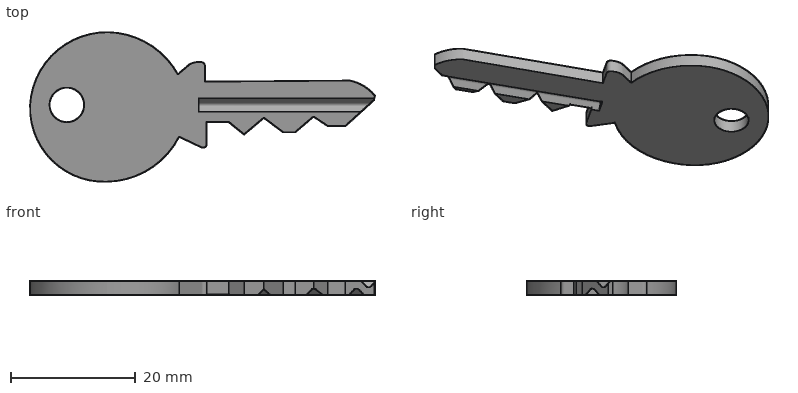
import cadquery as cq
import math

LENGTH = 55.33
WIDTH = 24.01
THICKNESS = 2.3

LEFT_X = -LENGTH / 2
TIP_X = LENGTH / 2
HEAD_TOP_Y = WIDTH / 2
HEAD_BOTTOM_Y = -WIDTH / 2

HEAD_LEFT_Y = 0.33
HEAD_TOP_X = -15.1
HEAD_BOTTOM_X = -15.33
UPPER_LEFT_MID = (-24.0, 8.42)
UPPER_RIGHT_MID = (-8.5, 10.03)
LOWER_RIGHT_MID = (-8.5, -9.98)
LOWER_LEFT_MID = (-24.0, -8.72)
UPPER_NECK = (-3.95, 5.25)
LOWER_NECK = (-3.75, -4.8)

HOLE_DIAMETER = 5.5
HOLE_CENTER = (-21.75, 0.33)

UPPER_SHOULDER_X = 0.42
EAR_START = (-2.1, 6.83)
EAR_MID = (-1.4, 7.13)
EAR_CREST = (-0.6, 7.22)
EAR_CORNER_RADIUS = 0.7

LOWER_SHOULDER_X = 0.68
LOWER_EAR_CORNER = (LOWER_SHOULDER_X, -6.9)
LOWER_EAR_RADIUS = 0.6

BACK_START_Y = 4.08
BACK_END_Y = 4.25
BACK_END_X = 23.6
NOSE_MID = (25.9, 3.35)
TIP_Y = 1.78
TIP_CORNER = (27.5, 1.1)
BIT_ROOT_Y = -2.42
BIT_POINTS = [
    (4.2, BIT_ROOT_Y),
    (6.67, -4.42),
    (9.83, -1.75),
    (12.95, -4.08),
    (14.85, -4.08),
    (17.8, -1.55),
    (20.1, -3.08),
    (22.9, -3.08),
]

GROOVE_START_X = -0.6
GROOVE_WIDTH = 2.2
GROOVE_WALL_ANGLE = 50.0
GROOVE_ROOT_RADIUS = 0.5
TOP_GROOVE_Y = 0.31
BOTTOM_GROOVE_Y = -1.45


def make_outline():
    """Closed outline of the key, running clockwise from the left end of the head."""
    left = (LEFT_X, HEAD_LEFT_Y)
    corner_inset = EAR_CORNER_RADIUS * (1 - math.cos(math.radians(45)))
    ear_corner_mid = (
        UPPER_SHOULDER_X - corner_inset,
        EAR_CREST[1] - corner_inset,
    )
    outline = (
        cq.Workplane("XY")
        .moveTo(*left)
        .threePointArc(UPPER_LEFT_MID, (HEAD_TOP_X, HEAD_TOP_Y))
        .threePointArc(UPPER_RIGHT_MID, UPPER_NECK)
        .lineTo(*EAR_START)
        .threePointArc(EAR_MID, EAR_CREST)
        .lineTo(UPPER_SHOULDER_X - EAR_CORNER_RADIUS, EAR_CREST[1])
        .threePointArc(ear_corner_mid, (UPPER_SHOULDER_X, EAR_CREST[1] - EAR_CORNER_RADIUS))
        .lineTo(UPPER_SHOULDER_X, BACK_START_Y)
        .lineTo(BACK_END_X, BACK_END_Y)
        .threePointArc(NOSE_MID, (TIP_X, TIP_Y))
        .lineTo(*TIP_CORNER)
    )
    for point in reversed(BIT_POINTS):
        outline = outline.lineTo(*point)
    return (
        outline.lineTo(LOWER_SHOULDER_X, BIT_ROOT_Y)
        .lineTo(*LOWER_EAR_CORNER)
        .lineTo(*LOWER_NECK)
        .threePointArc(LOWER_RIGHT_MID, (HEAD_BOTTOM_X, HEAD_BOTTOM_Y))
        .threePointArc(LOWER_LEFT_MID, left)
        .close()
    )


def make_blank():
    """Flat key with the lower ear rounded and the ring hole cut through."""
    blank = make_outline().extrude(THICKNESS)
    corner_edge = cq.selectors.NearestToPointSelector((*LOWER_EAR_CORNER, THICKNESS / 2))
    blank = blank.edges("|Z").edges(corner_edge).fillet(LOWER_EAR_RADIUS)
    hole = cq.Workplane("XY").center(*HOLE_CENTER).circle(HOLE_DIAMETER / 2).extrude(THICKNESS)
    return blank.cut(hole)


def make_groove(center_y, face_z, inward):
    """Groove cutter running out past the tip; inward is the Z sign pointing into the key."""
    angle = math.radians(GROOVE_WALL_ANGLE)
    half_width = GROOVE_WIDTH / 2
    sharp_depth = half_width * math.tan(angle)
    tangent_y = GROOVE_ROOT_RADIUS * math.sin(angle)
    tangent_depth = sharp_depth - tangent_y * math.tan(angle)
    root_depth = sharp_depth - GROOVE_ROOT_RADIUS * (1 / math.cos(angle) - 1)
    return (
        cq.Workplane("YZ", origin=(GROOVE_START_X, center_y, face_z))
        .moveTo(-half_width, 0)
        .lineTo(-tangent_y, inward * tangent_depth)
        .threePointArc((0, inward * root_depth), (tangent_y, inward * tangent_depth))
        .lineTo(half_width, 0)
        .close()
        .extrude(LENGTH)
    )


top_groove = make_groove(TOP_GROOVE_Y, THICKNESS, -1)
bottom_groove = make_groove(BOTTOM_GROOVE_Y, 0, 1)
result = make_blank().cut(top_groove).cut(bottom_groove)